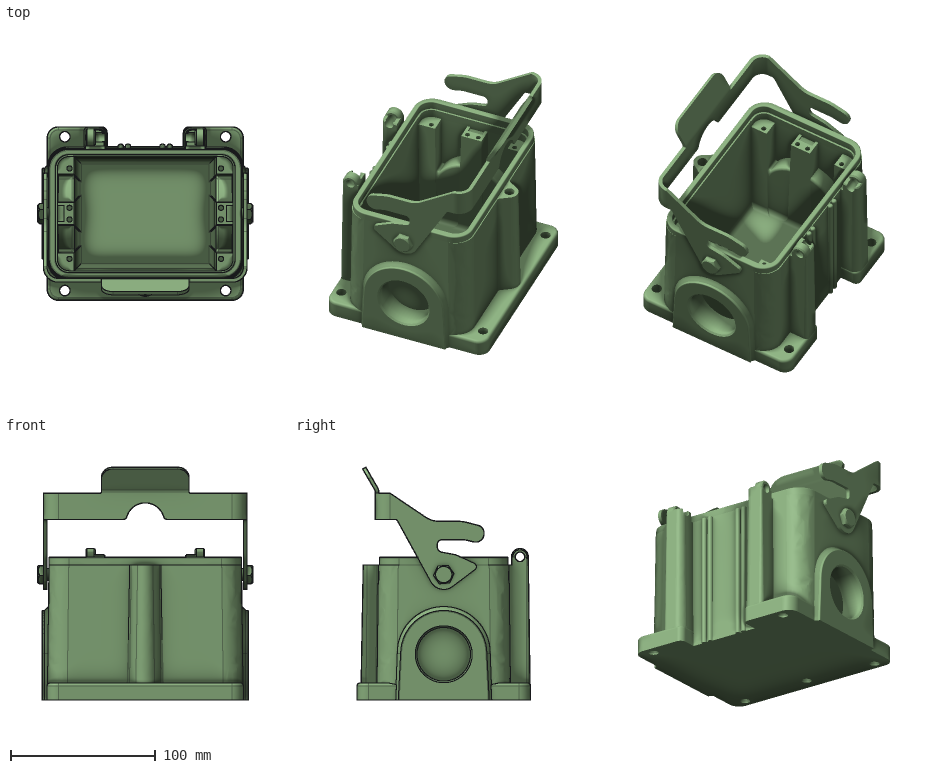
import cadquery as cq
import math

PLATE_X, PLATE_Y, PLATE_H = 135.6, 120.0, 11.9
PLATE_CORNER_R = 7.9
PLATE_EDGE_R = 2.1
MOUNT_X, MOUNT_Y = 55.5, 53.2
SCREW_HOLE_R = 3.5
NOTCH_HALF_X = 26.3
NOTCH_CORNER_R = 4.2

BODY_X, BODY_Y, BODY_TOP = 133.0, 90.2, 93.6
BODY_SPREAD = 2.3
BODY_CORNER_R = 13.7
RIM_X, RIM_Y, RIM_TOP = 133.0, 88.9, 98.9
RIM_EDGE_R = 0.8

FLOOR_Z = 4.8
FLOOR_R = 3.7
LAND_Z = 86.7
LAND_X = 49.5
CORE_HALF_Y = 39.8
CORE_DRAFT = 1.2
MOUTH_X, MOUTH_Y, MOUTH_R = 121.5, 79.0, 8.0
LIP_STEP = 1.3
LIP_Z = 93.0
LIP_EDGE_R = 0.5
POCKET_Y0, POCKET_Y1 = 7.5, 27.2
POCKET_DRAFT = 1.2
POCKET_FOOT_R = 1.3
POCKET_WALL_X = 48.8
LAND_HOLE_X, LAND_HOLE_YS = 52.3, (-31.2, -4.0, 4.0, 31.2)
LAND_HOLE_R, LAND_HOLE_DEPTH = 1.8, 12.9
SEAT_X, SEAT_HALF_Y, SEAT_DEPTH = 56.0, 5.5, 1.6

ENTRY_FACE_X = 71.2
ENTRY_Z = 32.2
ENTRY_R = 29.8
ENTRY_FOOT_SPREAD = 1.6
ENTRY_EDGE_R = 0.6
ENTRY_FLARE = 2.0
ENTRY_INNER_EDGE_R = 2.0
ENTRY_INNER_R = 29.0
ENTRY_ROOT_DEPTH = 6.5
BORE_Z, BORE_R, BORE_DEPTH = 31.7, 18.5, 16.9
BORE_CHAMFER = 1.1

COLUMN_Y, COLUMN_NOSE_R = -49.5, 6.3
COLUMN_FLANK_ANGLE = 33.0
COLUMN_ROOT_R = 2.9
COLUMN_SINK = 0.6
COLUMN_DRAFT = 1.0

TOWER_X0, TOWER_X1 = 27.9, 41.0
TOWER_BACK_Y = 58.5
TOWER_DRAFT = 0.8
TOWER_EDGE_R = 1.3
LOOP_CHAMFER = 1.0
HINGE_Y, HINGE_Z = 52.7, 99.0
HINGE_R, HINGE_HOLE_R = 5.8, 3.2
LOOP_X0 = 34.3
SADDLE_Z = 100.7
SADDLE_CHAMFER = 0.8
RIB_XS = (-16.9, -11.9, 11.9, 16.9)
RIB_R, RIB_Y, RIB_DOME_R = 2.0, 46.2, 1.1

LEVER_HALF_X, LEVER_T = 70.4, 2.5
LEVER_FRONT_Y = -47.4
LEVER_CORNER_R = 10.3
BAR_Z0, BAR_Z1 = 124.8, 143.0
PIVOT_Z = 86.8
PIVOT_ROUND_R = 10.1
RELIEF_Z, RELIEF_R, RELIEF_EDGE_R = 123.0, 13.2, 2.4
TAB_HALF_X, TAB_TIP_Z, TAB_BEND_Z = 30.3, 161.0, 144.6
TAB_BEND_R = 2.4
TAB_ANGLE = 30.0
TAB_CORNER_R, TAB_FOOT_R = 8.0, 0.8
SHANK_R = 4.2
HEAD_R, HEAD_H, HEAD_TOP_R, HEAD_TURN = 7.1, 3.95, 5.6, 5.0


def rounded_box(x, y, z0, z1, r):
    return cq.Workplane("XY").box(x, y, z1 - z0).edges("|Z").fillet(r).translate((0, 0, (z0 + z1) / 2))


def block(x0, x1, y0, y1, z0, z1):
    return cq.Workplane("XY").box(x1 - x0, y1 - y0, z1 - z0, centered=False).translate((x0, y0, z0))


def x_cylinder(r, y, z, x0, x1):
    return cq.Workplane("YZ", origin=(x0, y, z)).circle(r).extrude(x1 - x0)


def mirrored(shape):
    """Return the shape together with its mirror image across the YZ plane."""
    return shape.union(shape.mirror("YZ"))


def rounded_outline(plane, corners):
    """Closed outline through (u, v, radius) corners, each rounded by a tangent arc."""
    path = None
    for i, (u, v, r) in enumerate(corners):
        before, after = corners[i - 1], corners[(i + 1) % len(corners)]
        to_before = cq.Vector(before[0] - u, before[1] - v).normalized()
        to_after = cq.Vector(after[0] - u, after[1] - v).normalized()
        half = to_before.getAngle(to_after) / 2
        corner = cq.Vector(u, v)
        start = corner + to_before * (r / math.tan(half))
        path = path.lineTo(start.x, start.y) if path else plane.moveTo(start.x, start.y)
        if r:
            end = corner + to_after * (r / math.tan(half))
            bisector = (to_before + to_after).normalized()
            middle = corner + bisector * (r / math.sin(half) - r)
            path = path.threePointArc((middle.x, middle.y), (end.x, end.y))
    return path.close()


def arch_outline(x, radius, foot_y):
    return (cq.Workplane("YZ", origin=(x, 0, 0))
            .moveTo(-foot_y, 0).lineTo(-radius, ENTRY_Z)
            .threePointArc((0, ENTRY_Z + radius), (radius, ENTRY_Z))
            .lineTo(foot_y, 0).close())


def make_plate():
    back = PLATE_Y / 2
    notch_y = BODY_Y / 2 + 0.6
    plate = rounded_box(PLATE_X, PLATE_Y, 0, PLATE_H, PLATE_CORNER_R)
    plate = plate.cut(block(-NOTCH_HALF_X, NOTCH_HALF_X, notch_y, back + 1.6, -1.6, PLATE_H + 1.6))
    plate = plate.edges(cq.selectors.BoxSelector((-NOTCH_HALF_X - 1.6, back - 1.6, -1.6),
                                                 (NOTCH_HALF_X + 1.6, back + 1.6, PLATE_H + 1.6))).edges("|Z")
    plate = plate.fillet(NOTCH_CORNER_R)
    return plate.faces(">Z").edges().fillet(PLATE_EDGE_R)


def make_shell():
    base = cq.Sketch().rect(BODY_X + BODY_SPREAD, BODY_Y + BODY_SPREAD).vertices().fillet(BODY_CORNER_R)
    shoulder = cq.Sketch().rect(BODY_X, BODY_Y).vertices().fillet(BODY_CORNER_R)
    body = cq.Workplane("XY").placeSketch(base, shoulder.moved(cq.Location(cq.Vector(0, 0, BODY_TOP)))).loft()
    rim = rounded_box(RIM_X, RIM_Y, BODY_TOP - 1.6, RIM_TOP, BODY_CORNER_R)
    rim = rim.faces(">Z").edges().fillet(RIM_EDGE_R)
    lip_x, lip_y = MOUTH_X + 2 * LIP_STEP, MOUTH_Y + 2 * LIP_STEP
    lip = rounded_box(lip_x, lip_y, LIP_Z, RIM_TOP, MOUTH_R + LIP_STEP)
    shell = body.union(rim).cut(lip)
    lip_edge = cq.selectors.BoxSelector((-lip_x / 2 - 0.2, -lip_y / 2 - 0.2, RIM_TOP - 0.2),
                                        (lip_x / 2 + 0.2, lip_y / 2 + 0.2, RIM_TOP + 0.2))
    return shell.edges(lip_edge).fillet(LIP_EDGE_R)


def make_entry():
    """Arched boss around the cable entry, on the -X end."""
    foot_y = ENTRY_R + ENTRY_FOOT_SPREAD
    arch = arch_outline(-ENTRY_FACE_X, ENTRY_R, foot_y).extrude(ENTRY_FACE_X - LAND_X - ENTRY_ROOT_DEPTH)
    arch = arch.faces("<X").edges("not <Z").fillet(ENTRY_EDGE_R)
    wall_x = (BODY_X + BODY_SPREAD) / 2
    flare = arch_outline(-wall_x - ENTRY_FLARE, ENTRY_R, foot_y).extrude(2 * ENTRY_FLARE, taper=-45)
    flare = flare.cut(block(-PLATE_X, 0, -PLATE_Y, PLATE_Y, -PLATE_H, 0))
    return arch.union(flare)


def make_bore():
    bore = x_cylinder(BORE_R, 0, BORE_Z, -ENTRY_FACE_X, -ENTRY_FACE_X + BORE_DEPTH)
    flare = (cq.Workplane("YZ", origin=(-ENTRY_FACE_X, 0, BORE_Z))
             .circle(BORE_R + BORE_CHAMFER).workplane(offset=BORE_CHAMFER).circle(BORE_R).loft())
    return bore.union(flare)


def make_column():
    """Screw column on the front wall: a round nose with flanks spreading into the wall."""
    flank = math.radians(COLUMN_FLANK_ANGLE)
    wall_y = -BODY_Y / 2
    apex_y = COLUMN_Y - COLUMN_NOSE_R / math.sin(flank)
    root_x = (wall_y - apex_y) * math.tan(flank)
    wing_x = root_x + COLUMN_ROOT_R
    corners = [
        (-wing_x, wall_y + 3.2, 0), (-wing_x, wall_y + COLUMN_SINK, 0), (-root_x, wall_y, COLUMN_ROOT_R),
        (0, apex_y, COLUMN_NOSE_R),
        (root_x, wall_y, COLUMN_ROOT_R), (wing_x, wall_y + COLUMN_SINK, 0), (wing_x, wall_y + 3.2, 0),
    ]
    outline = rounded_outline(cq.Workplane("XY", origin=(0, 0, BODY_TOP)), corners)
    return outline.extrude(-BODY_TOP, taper=-COLUMN_DRAFT)


def make_tower():
    """Hinge tower on the +X half: drafted post, closed loop and an open pin saddle."""
    wall_y = BODY_Y / 2 - 3.2
    front_y = HINGE_Y - HINGE_R
    width, depth = TOWER_X1 - TOWER_X0, TOWER_BACK_Y - wall_y
    post = (cq.Workplane("XY", origin=((TOWER_X0 + TOWER_X1) / 2, (TOWER_BACK_Y + wall_y) / 2, HINGE_Z))
            .sketch().rect(width, depth).vertices("<X and >Y").fillet(NOTCH_CORNER_R)
            .reset().vertices(">X and >Y").fillet(TOWER_EDGE_R).finalize()
            .extrude(-HINGE_Z, taper=-TOWER_DRAFT))
    post = post.cut(block(0, PLATE_X, 0, front_y, BODY_TOP, RIM_TOP + 1.6))
    loop = x_cylinder(HINGE_R, HINGE_Y, HINGE_Z, LOOP_X0, TOWER_X1)
    loop = loop.edges("%CIRCLE").chamfer(LOOP_CHAMFER)
    saddle = block(TOWER_X0, LOOP_X0 + LOOP_CHAMFER, front_y, TOWER_BACK_Y, HINGE_Z, SADDLE_Z)
    saddle = saddle.edges("<X and >Y").fillet(NOTCH_CORNER_R)
    saddle = saddle.faces(">Z").edges("<X").chamfer(SADDLE_CHAMFER)
    trough = block(TOWER_X0 + 1.6, LOOP_X0, HINGE_Y - HINGE_HOLE_R, HINGE_Y + HINGE_HOLE_R,
                   HINGE_Z, SADDLE_Z + 1.6)
    tower = post.union(saddle).cut(trough).union(loop)
    return tower.cut(x_cylinder(HINGE_HOLE_R, HINGE_Y, HINGE_Z, 0, PLATE_X / 2))


def make_ribs():
    ribs = cq.Workplane("XY").pushPoints([(x, RIB_Y) for x in RIB_XS]).circle(RIB_R).extrude(BODY_TOP)
    return ribs.faces(">Z").edges().fillet(RIB_DOME_R)


def make_cavity():
    core = (cq.Workplane("XY", origin=(0, 0, LIP_Z)).rect(2 * LAND_X, 2 * CORE_HALF_Y)
            .extrude(FLOOR_Z - LIP_Z, taper=CORE_DRAFT))
    bays = make_bays()
    recesses = bays.intersect(block(0, POCKET_WALL_X, -MOUTH_Y, MOUTH_Y, FLOOR_Z, LAND_Z))
    core = core.union(mirrored(recesses))
    core = core.faces("<Z").edges().fillet(FLOOR_R)
    core = core.union(mirrored(make_pockets(bays)))
    mouth = rounded_box(MOUTH_X, MOUTH_Y, LAND_Z, RIM_TOP, MOUTH_R)
    return core.union(mouth).union(mirrored(make_land_cuts()))


def make_bays():
    """Drafted bays between the lands of the +X end, full height and reaching the end wall."""
    bays = cq.Workplane("XY")
    width = POCKET_Y1 - POCKET_Y0
    for side in (-1, 1):
        middle = side * (POCKET_Y0 + POCKET_Y1) / 2
        bays = bays.add(cq.Workplane("XY", origin=(MOUTH_X / 4, middle, LAND_Z)).rect(MOUTH_X / 2, width)
                        .extrude(FLOOR_Z - LAND_Z, taper=POCKET_DRAFT))
    return bays.combine()


def make_pockets(bays):
    """Part of the bays above the rounded arch that backs the cable entry of the +X end."""
    arch = arch_outline(POCKET_WALL_X, ENTRY_INNER_R, ENTRY_INNER_R).extrude(MOUTH_X)
    arch = arch.faces("<X").edges("not <Z").fillet(ENTRY_INNER_EDGE_R)
    outer = block(POCKET_WALL_X, MOUTH_X, -MOUTH_Y, MOUTH_Y, FLOOR_Z, LAND_Z)
    pockets = bays.intersect(outer).cut(arch)
    arch_feet = pockets.edges(cq.selectors.BoxSelector((POCKET_WALL_X, -POCKET_Y1, ENTRY_Z),
                                                       (MOUTH_X, POCKET_Y1, ENTRY_Z + ENTRY_INNER_R - 3.2)))
    return arch_feet.edges("|X").fillet(POCKET_FOOT_R)


def make_land_cuts():
    """Screw holes and seat cut into the lands of the +X end."""
    seat = block(SEAT_X, MOUTH_X / 2, -SEAT_HALF_Y, SEAT_HALF_Y, LAND_Z - SEAT_DEPTH, LAND_Z)
    holes = (cq.Workplane("XY", origin=(0, 0, LAND_Z - LAND_HOLE_DEPTH))
             .pushPoints([(LAND_HOLE_X, y) for y in LAND_HOLE_YS])
             .circle(LAND_HOLE_R).extrude(LAND_HOLE_DEPTH))
    return seat.union(holes)


def make_screw_holes():
    places = [(x, y) for x in (-MOUNT_X, MOUNT_X) for y in (-MOUNT_Y, MOUNT_Y)]
    places.append((0, COLUMN_Y))
    return cq.Workplane("XY").pushPoints(places).circle(SCREW_HOLE_R).extrude(RIM_TOP)


def make_lever():
    """Sheet-metal U: two hooked side arms joined by the front bar, with a bent thumb tab."""
    side_corners = [
        (LEVER_FRONT_Y, BAR_Z1, 0), (-37.0, BAR_Z1, 1.6),
        (-8.4, 123.7, 16.1), (12.7, 123.7, 24.2),
        (29.3, 119.5, 6.0), (26.3, 107.9, 6.0),
        (14.5, 110.8, 16.1), (-4.3, 110.8, 3.0), (-4.3, 103.0, 3.4),
        (8.4, 100.5, 9.7), (25.0, 92.8, 2.5),
        (-3.2, 71.5, PIVOT_ROUND_R),
        (-32.5, BAR_Z0, 1.6), (LEVER_FRONT_Y, BAR_Z0, 0),
    ]
    arms = rounded_outline(cq.Workplane("YZ", origin=(-LEVER_HALF_X, 0, 0)), side_corners)
    arms = arms.extrude(2 * LEVER_HALF_X)
    length = 96.6
    strip = (block(-LEVER_HALF_X, LEVER_HALF_X, LEVER_FRONT_Y, LEVER_FRONT_Y + length, 0, TAB_TIP_Z)
             .edges("<Y and |Z").fillet(LEVER_CORNER_R))
    inside = (block(-LEVER_HALF_X + LEVER_T, LEVER_HALF_X - LEVER_T, LEVER_FRONT_Y + LEVER_T,
                    LEVER_FRONT_Y + length, 0, TAB_TIP_Z)
              .edges("<Y and |Z").fillet(LEVER_CORNER_R - LEVER_T))
    lever = arms.intersect(strip.cut(inside))

    relief = (cq.Workplane("XZ").center(0, RELIEF_Z).circle(RELIEF_R).extrude(-2 * LEVER_FRONT_Y))
    lever = lever.cut(relief)
    relief_x = math.sqrt(RELIEF_R ** 2 - (BAR_Z0 - RELIEF_Z) ** 2)
    lever = lever.edges(cq.selectors.BoxSelector((-relief_x - 0.8, LEVER_FRONT_Y - 1.6, BAR_Z0 - 0.8),
                                                 (relief_x + 0.8, 0, BAR_Z0 + 0.8))).edges("|Y")
    lever = lever.fillet(RELIEF_EDGE_R).union(make_tab())
    foot = lever.edges(cq.selectors.BoxSelector((-TAB_HALF_X - 0.8, LEVER_FRONT_Y - 1.6, BAR_Z1 - 0.3),
                                                (TAB_HALF_X + 0.8, 0, BAR_Z1 + 0.3))).edges("|Y")
    return foot.fillet(TAB_FOOT_R)


def make_tab():
    """Thumb tab leaning outward from the top of the front bar."""
    lean, rise = math.sin(math.radians(TAB_ANGLE)), math.cos(math.radians(TAB_ANGLE))
    tip_z = TAB_TIP_Z - LEVER_T * lean
    tip_y = LEVER_FRONT_Y - (tip_z - TAB_BEND_Z) * lean / rise
    inner_bend_z = TAB_BEND_Z + LEVER_T * math.tan(math.radians(TAB_ANGLE / 2))
    inner_y = LEVER_FRONT_Y + LEVER_T
    corners = [
        (LEVER_FRONT_Y, BAR_Z1 - 1.6, 0), (LEVER_FRONT_Y, TAB_BEND_Z, TAB_BEND_R),
        (tip_y, tip_z, 0), (tip_y + LEVER_T * rise, TAB_TIP_Z, 0),
        (inner_y, inner_bend_z, TAB_BEND_R + LEVER_T), (inner_y, BAR_Z1 - 1.6, 0),
    ]
    tab = rounded_outline(cq.Workplane("YZ", origin=(-TAB_HALF_X, 0, 0)), corners).extrude(2 * TAB_HALF_X)
    tip_corners = tab.edges(cq.selectors.BoxSelector((-TAB_HALF_X - 1.6, tip_y - 1.6, tip_z - 0.2),
                                                     (TAB_HALF_X + 1.6, 0, TAB_TIP_Z + 1.6))).edges("not |X")
    return tip_corners.fillet(TAB_CORNER_R)


def make_bolt():
    """Pivot bolt of the +X side: shank through the arm and a chamfered hex head."""
    shank = x_cylinder(SHANK_R, 0, PIVOT_Z, MOUTH_X / 2 + 1.6, LEVER_HALF_X)
    head = (cq.Workplane("YZ", origin=(LEVER_HALF_X, 0, PIVOT_Z))
            .transformed(rotate=(0, 0, HEAD_TURN)).polygon(6, 2 * HEAD_R).extrude(HEAD_H))
    cone = (cq.Workplane("YZ", origin=(LEVER_HALF_X, 0, PIVOT_Z)).circle(HEAD_TOP_R + HEAD_H)
            .workplane(offset=HEAD_H).circle(HEAD_TOP_R).loft())
    return shank.union(head.intersect(cone))


housing = make_plate().union(make_shell()).union(make_column())
housing = housing.union(mirrored(make_entry())).union(mirrored(make_tower()))
housing = housing.union(make_ribs())
housing = housing.cut(make_cavity()).cut(make_screw_holes()).cut(mirrored(make_bore()))
result = housing.union(make_lever()).union(mirrored(make_bolt()))